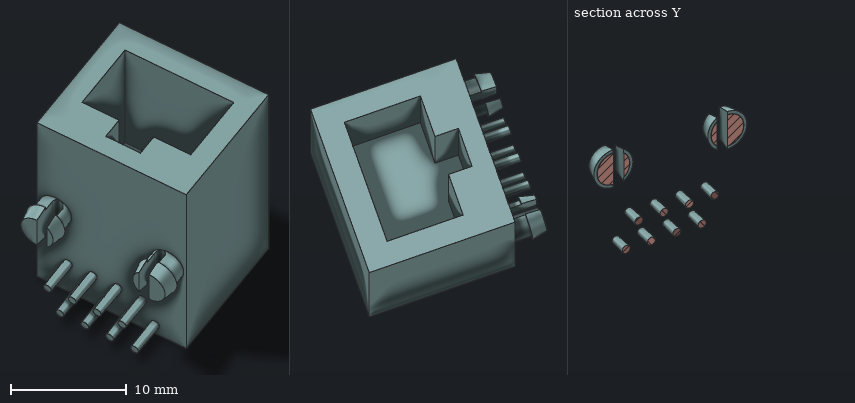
import cadquery as cq

housing_width = 15.25
housing_depth = 13.35
housing_height = 20.65

cavity_width = 11.08
cavity_length = 6.95
cavity_back_wall = 2.37
cavity_depth = 12.38
latch_width = 3.53
latch_length = 2.15

peg_spacing = 11.43
peg_height = 10.11
peg_diameter = 3.3
lip_diameter = 3.95
peg_length = 3.01
shank_length = 1.6
slot_width = 1.01

pins_per_row = 4
pin_pitch = 2.54
lower_row_height = 1.22
row_spacing = pin_pitch
row_stagger = pin_pitch / 2
pin_length = 3.35
pin_base_diameter = 0.89
pin_tip_diameter = 0.8


def make_cavity():
    """Stepped plug opening with a narrow latch channel towards the mounting face."""
    floor = housing_height - cavity_depth
    cavity_back = housing_depth - cavity_back_wall
    cavity_front = cavity_back - cavity_length
    main = cq.Workplane("XY").box(
        cavity_width, cavity_length, cavity_depth, centered=(True, False, False)
    ).translate((0, cavity_front, floor))
    latch = cq.Workplane("XY").box(
        latch_width, latch_length, cavity_depth, centered=(True, False, False)
    ).translate((0, cavity_front - latch_length, floor))
    return main.union(latch)


def make_peg(side):
    """Peg with a tapered lip; its slot runs from the peg axis towards the housing centre."""
    profile = [
        (0, 0),
        (peg_diameter / 2, 0),
        (peg_diameter / 2, -shank_length),
        (lip_diameter / 2, -shank_length),
        (peg_diameter / 2, -peg_length),
        (0, -peg_length),
    ]
    peg = cq.Workplane("XY").polyline(profile).close().revolve(360, (0, 0), (0, 1))

    inner = -side * slot_width
    arc_start = -slot_width / 2
    slot = (
        cq.Workplane("XY")
        .moveTo(0, -peg_length)
        .lineTo(0, arc_start)
        .threePointArc((inner / 2, 0), (inner, arc_start))
        .lineTo(inner, -peg_length)
        .close()
        .extrude(lip_diameter / 2, both=True)
    )
    return peg.cut(slot).translate((side * peg_spacing / 2, 0, peg_height))


def make_housing():
    """Block with the plug cavity and both snap pegs."""
    block = cq.Workplane("XY").box(
        housing_width, housing_depth, housing_height, centered=(True, False, False)
    )
    housing = block.cut(make_cavity())
    for side in (-1, 1):
        housing = housing.union(make_peg(side))
    return housing


def make_pin(x, z):
    """Round pin that tapers from the mounting face to its tip."""
    return cq.Solid.makeCone(
        pin_base_diameter / 2, pin_tip_diameter / 2, pin_length,
        pnt=cq.Vector(x, 0, z), dir=cq.Vector(0, -1, 0),
    )


housing = make_housing()

pins = []
row_half_length = (pins_per_row - 1) * pin_pitch / 2
for row, shift in enumerate((row_stagger / 2, -row_stagger / 2)):
    for column in range(pins_per_row):
        pin_x = column * pin_pitch - row_half_length + shift
        pins.append(make_pin(pin_x, lower_row_height + row * row_spacing))

result = cq.Compound.makeCompound([housing.val(), *pins])